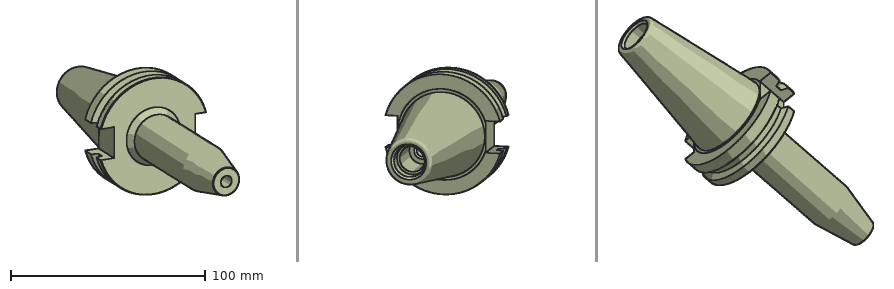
import cadquery as cq

total_length = 170.0
taper_small_radius = 12.0
gauge_radius = 44.5 / 2
gauge_x = 68.5
taper_end_round = 1.5

flange_start = 69.3
flange_end = 87.2
flange_radius = 31.6
flange_edge_chamfer = 0.3
face_recess_radius = 24.0
face_recess_depth = 0.2

groove_center = 79.2
groove_top_width = 6.5
groove_floor_width = 3.4
groove_floor_radius = 28.0

slot_width = 16.8
back_slot_floor = 24.1
front_slot_floor = 22.8

shank_radius = 25.3 / 2
collar_length = 3.2
collar_radius = 15.6
nose_start = 145.6
nose_tip_radius = 7.6
nose_tip_chamfer = 0.3

mouth_radius = 9.3
bore_radius = 16.3 / 2
bore_depth = 7.3
thread_radius = 13.5 / 2
thread_depth = 27.2
coolant_radius = 6.3 / 2
coolant_countersink_radius = 8.3 / 2


def revolve_about_x(points):
    """Turn a closed (x, radius) outline about the X axis."""
    return cq.Workplane("XY").polyline(points).close().revolve(360, (0, 0, 0), (1, 0, 0))


def make_taper():
    taper = revolve_about_x([
        (0, 0),
        (0, taper_small_radius),
        (gauge_x, gauge_radius),
        (flange_end, gauge_radius),
        (flange_end, 0),
    ])
    return taper.faces("<X").edges().fillet(taper_end_round)


def make_flange():
    half_top = groove_top_width / 2
    half_floor = groove_floor_width / 2
    flange = revolve_about_x([
        (flange_start + face_recess_depth, 0),
        (flange_start + face_recess_depth, face_recess_radius),
        (flange_start, face_recess_radius),
        (flange_start, flange_radius),
        (groove_center - half_top, flange_radius),
        (groove_center - half_floor, groove_floor_radius),
        (groove_center + half_floor, groove_floor_radius),
        (groove_center + half_top, flange_radius),
        (flange_end - flange_edge_chamfer, flange_radius),
        (flange_end, flange_radius - flange_edge_chamfer),
        (flange_end, 0),
    ])
    return flange.cut(make_drive_slot(back_slot_floor, 1)).cut(make_drive_slot(front_slot_floor, -1))


def make_drive_slot(floor_offset, side):
    """Key slot through the full flange width, on the +Y (1) or -Y (-1) side."""
    slot_depth = flange_radius - floor_offset
    slot_middle_y = side * (floor_offset + slot_depth / 2)
    slot_middle_x = (flange_start + flange_end) / 2
    return (
        cq.Workplane("XY")
        .center(slot_middle_x, slot_middle_y)
        .box(flange_end - flange_start, slot_depth, slot_width)
    )


def make_shank():
    return revolve_about_x([
        (gauge_x, 0),
        (gauge_x, collar_radius),
        (flange_end, collar_radius),
        (flange_end + collar_length, shank_radius),
        (nose_start, shank_radius),
        (total_length - nose_tip_chamfer, nose_tip_radius),
        (total_length, nose_tip_radius - nose_tip_chamfer),
        (total_length, 0),
    ])


def make_bore():
    mouth_depth = mouth_radius - bore_radius
    countersink_depth = coolant_countersink_radius - coolant_radius
    return revolve_about_x([
        (0, 0),
        (0, mouth_radius),
        (mouth_depth, bore_radius),
        (bore_depth, bore_radius),
        (bore_depth, thread_radius),
        (thread_depth, thread_radius),
        (thread_depth, coolant_countersink_radius),
        (thread_depth + countersink_depth, coolant_radius),
        (total_length, coolant_radius),
        (total_length, 0),
    ])


result = make_taper().union(make_flange()).union(make_shank()).cut(make_bore())